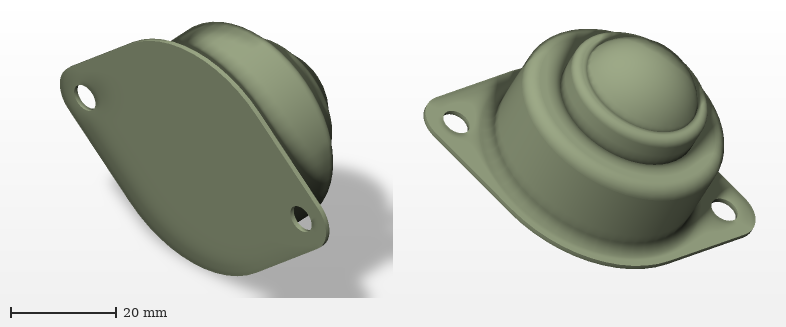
import cadquery as cq
import math

length = 69.0
height = 49.9
flange_thickness = 1.0
hole_spacing = 56.0
hole_diameter = 5.5

body_radius = 21.05
body_top = 18.0
body_round = 2.5
root_fillet = 2.1
neck_radius = 14.2
neck_top = 24.5
neck_round = 1.5
ball_radius = 12.7
ball_top = 32.0


def make_flange():
    """Rounded diamond: a large centre arc joined to two end arcs by tangent lines."""
    centre_radius = height / 2
    end_x = hole_spacing / 2
    end_radius = length / 2 - end_x
    normal_x = (centre_radius - end_radius) / end_x
    normal_z = math.sqrt(1 - normal_x**2)
    centre_x, centre_z = centre_radius * normal_x, centre_radius * normal_z
    tangent_x, tangent_z = end_x + end_radius * normal_x, end_radius * normal_z
    outline = (
        cq.Workplane("XZ")
        .moveTo(-centre_x, centre_z)
        .threePointArc((0, centre_radius), (centre_x, centre_z))
        .lineTo(tangent_x, tangent_z)
        .threePointArc((length / 2, 0), (tangent_x, -tangent_z))
        .lineTo(centre_x, -centre_z)
        .threePointArc((0, -centre_radius), (-centre_x, -centre_z))
        .lineTo(-tangent_x, -tangent_z)
        .threePointArc((-length / 2, 0), (-tangent_x, tangent_z))
        .close()
    )
    plate = outline.extrude(-flange_thickness)
    holes = (
        cq.Workplane("XZ")
        .pushPoints([(-end_x, 0), (end_x, 0)])
        .circle(hole_diameter / 2)
        .extrude(-flange_thickness)
    )
    return plate.cut(holes)


def make_drum(radius, top, edge_round):
    """Cylinder rising along +Y from the flange base, with a rounded top rim."""
    drum = cq.Workplane("XZ").circle(radius).extrude(-top)
    return drum.faces(">Y").edges().fillet(edge_round)


def make_root_flare():
    """Concave fillet ring between the flange and the body."""
    flare_radius = body_radius + root_fillet
    flare_top = flange_thickness + root_fillet
    arc_offset = root_fillet * math.sqrt(0.5)
    return (
        cq.Workplane("XY")
        .lineTo(flare_radius, 0)
        .lineTo(flare_radius, flange_thickness)
        .threePointArc((flare_radius - arc_offset, flare_top - arc_offset), (body_radius, flare_top))
        .lineTo(0, flare_top)
        .close()
        .revolve(360, (0, 0, 0), (0, 1, 0))
    )


ball = cq.Workplane("XY").sphere(ball_radius).translate((0, ball_top - ball_radius, 0))

result = (
    make_flange()
    .union(make_root_flare())
    .union(make_drum(body_radius, body_top, body_round))
    .union(make_drum(neck_radius, neck_top, neck_round))
    .union(ball)
)